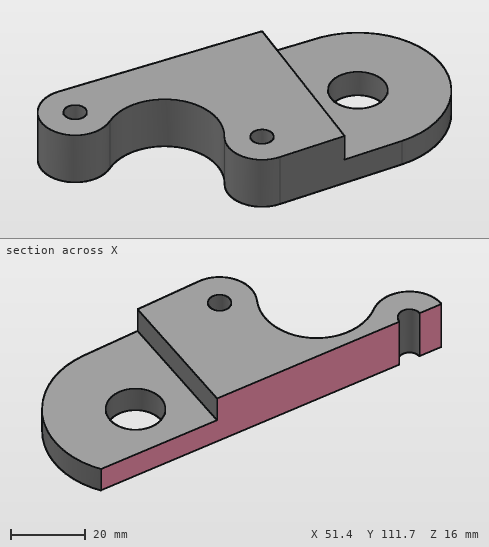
import cadquery as cq
import math

thickness = 16.0
eye_thickness = thickness / 2
length = 111.7
width = 51.4
eye_radius = 25.0
eye_arc_start_y = 1.3
eye_hole_diameter = 16.0
step_y = -16.3
lug_radius = 10.0
lug_hole_diameter = 6.3
upper_lug_y = -36.3
recess_radius = 16.0

left_x = -eye_radius
lower_lug = (left_x + lug_radius, eye_radius - length + lug_radius)
upper_lug = (left_x + width - lug_radius, upper_lug_y)


def polar(center, radius, angle):
    """Point at a radius and an angle in radians around a center."""
    return (center[0] + radius * math.cos(angle), center[1] + radius * math.sin(angle))


def direction(start, end):
    """Angle in radians of the line from start to end."""
    return math.atan2(end[1] - start[1], end[0] - start[0])


eye_to_lug = math.hypot(*upper_lug)
edge_normal = direction((0, 0), upper_lug) + math.acos((eye_radius - lug_radius) / eye_to_lug)

lug_spacing = math.dist(lower_lug, upper_lug)
recess_to_lug = recess_radius + lug_radius
recess_center = polar(
    lower_lug,
    recess_to_lug,
    direction(lower_lug, upper_lug) - math.acos(lug_spacing / 2 / recess_to_lug),
)
upper_touch_angle = direction(upper_lug, recess_center)
lower_touch_angle = direction(lower_lug, recess_center)
upper_touch = polar(upper_lug, lug_radius, upper_touch_angle)
lower_touch = polar(lower_lug, lug_radius, lower_touch_angle)

recess_middle = polar(recess_center, recess_radius, direction(lower_lug, upper_lug) + math.pi / 2)

plate = (
    cq.Workplane("XY")
    .moveTo(left_x, eye_arc_start_y)
    .threePointArc((0, eye_radius), polar((0, 0), eye_radius, edge_normal))
    .lineTo(*polar(upper_lug, lug_radius, edge_normal))
    .threePointArc(polar(upper_lug, lug_radius, (edge_normal + upper_touch_angle) / 2), upper_touch)
    .threePointArc(recess_middle, lower_touch)
    .threePointArc((lower_lug[0], lower_lug[1] - lug_radius), (left_x, lower_lug[1]))
    .close()
    .extrude(thickness)
)

step_cut = (
    cq.Workplane("XY")
    .box(2 * width, length, thickness, centered=(True, False, False))
    .translate((0, step_y, eye_thickness))
)
stepped_plate = plate.cut(step_cut)

eye_hole = cq.Workplane("XY").circle(eye_hole_diameter / 2).extrude(thickness)
lug_holes = (
    cq.Workplane("XY")
    .pushPoints([lower_lug, upper_lug])
    .circle(lug_hole_diameter / 2)
    .extrude(thickness)
)

result = stepped_plate.cut(eye_hole).cut(lug_holes)